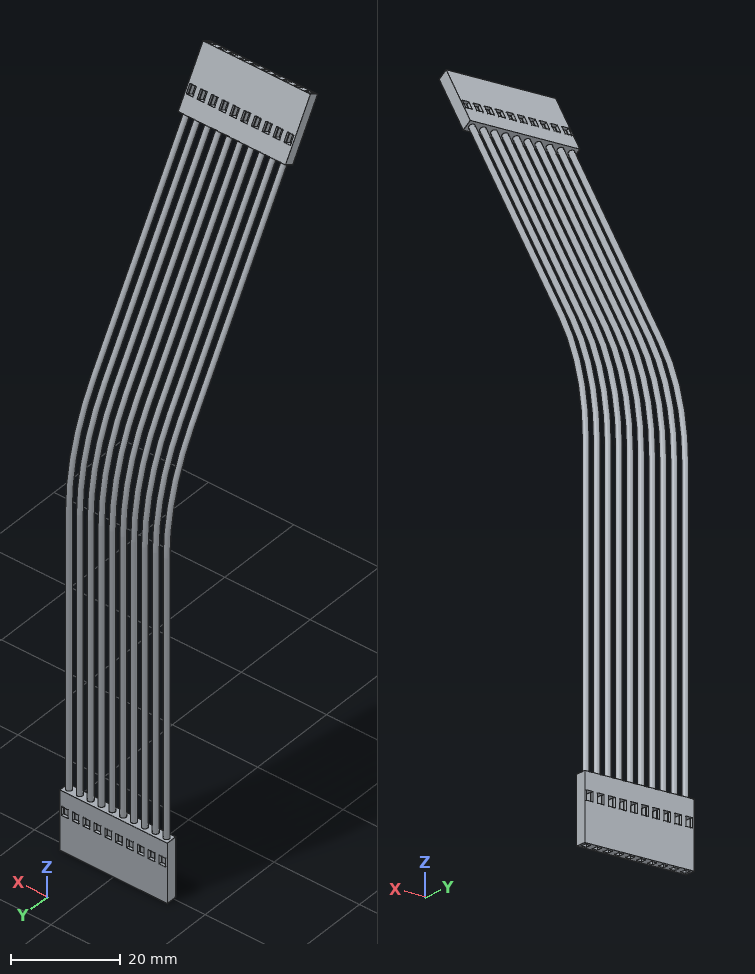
import cadquery as cq
import math


WAYS = 10
PITCH = 2.54
HOUSING_WIDTH = 25.2
HOUSING_THICKNESS = 2.5
HOUSING_LENGTH = 14.0

SOCKET_SIZE = 1.2

WINDOW_WIDTH = 1.5
WINDOW_LENGTH = 2.0
WINDOW_FROM_WIRE_END = 3.7

WIRE_DIAMETER = 1.3
LOWER_RUN = 65.0
BEND_RADIUS = 50.0
BEND_ANGLE = 31.15
UPPER_RUN = 52.04

WALL_THICKNESS = (HOUSING_THICKNESS - SOCKET_SIZE) / 2
SOCKET_DEPTH = HOUSING_LENGTH - WINDOW_FROM_WIRE_END
WAY_POSITIONS = [(i - (WAYS - 1) / 2) * PITCH for i in range(WAYS)]

BEND_RADIANS = math.radians(BEND_ANGLE)
BEND_START_Z = HOUSING_LENGTH + LOWER_RUN


def bend_point(angle):
    """Centreline point (y, z) after turning through the given angle of the bend."""
    y = -BEND_RADIUS * (1 - math.cos(angle))
    z = BEND_START_Z + BEND_RADIUS * math.sin(angle)
    return (y, z)


BEND_MIDDLE = bend_point(BEND_RADIANS / 2)
BEND_END = bend_point(BEND_RADIANS)
WIRE_END = (
    BEND_END[0] - UPPER_RUN * math.sin(BEND_RADIANS),
    BEND_END[1] + UPPER_RUN * math.cos(BEND_RADIANS),
)


def make_housing():
    """Housing with its wire end on Z = 0 and its mating end at +Z, windows on +Y."""
    body = cq.Workplane("XY").box(
        HOUSING_WIDTH, HOUSING_THICKNESS, HOUSING_LENGTH, centered=(True, True, False)
    )
    sockets = (
        cq.Workplane("XY", origin=(0, 0, WINDOW_FROM_WIRE_END))
        .pushPoints([(x, 0) for x in WAY_POSITIONS])
        .rect(SOCKET_SIZE, SOCKET_SIZE)
        .extrude(SOCKET_DEPTH)
    )
    window_middle = WINDOW_FROM_WIRE_END + WINDOW_LENGTH / 2
    windows = (
        cq.Workplane("XZ", origin=(0, HOUSING_THICKNESS / 2, 0))
        .pushPoints([(x, window_middle) for x in WAY_POSITIONS])
        .rect(WINDOW_WIDTH, WINDOW_LENGTH)
        .extrude(WALL_THICKNESS)
    )
    return body.cut(sockets).cut(windows)


def make_wire(x):
    """One wire from the lower housing to the upper housing at the given X."""
    path = (
        cq.Workplane("YZ", origin=(x, 0, 0))
        .moveTo(0, HOUSING_LENGTH)
        .lineTo(0, BEND_START_Z)
        .threePointArc(BEND_MIDDLE, BEND_END)
        .lineTo(*WIRE_END)
    )
    return (
        cq.Workplane("XY", origin=(x, 0, HOUSING_LENGTH))
        .circle(WIRE_DIAMETER / 2)
        .sweep(path)
    )


lower_housing = make_housing().mirror("XY").translate((0, 0, HOUSING_LENGTH))
upper_housing = (
    make_housing()
    .rotate((0, 0, 0), (1, 0, 0), BEND_ANGLE)
    .translate((0, WIRE_END[0], WIRE_END[1]))
)

result = lower_housing
for way_x in WAY_POSITIONS:
    result = result.union(make_wire(way_x))
result = result.union(upper_housing)